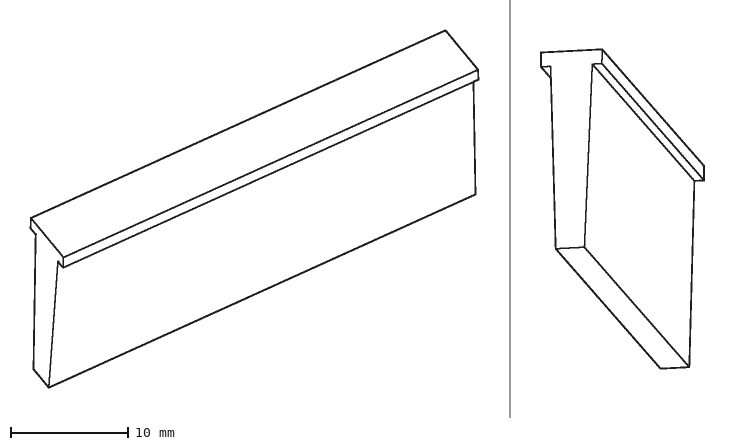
import cadquery as cq
import math

draft_angle = 2.0

cap_width = 5.35
cap_thickness = 1.3

total_height = 17.5
blade_height = total_height - cap_thickness
bottom_width = 2.5
bottom_length = 42.7


def draft_change(height):
    """Change of a full width or length over a height, with draft on both sides."""
    return 2 * height * math.tan(math.radians(draft_angle))


blade_top_width = bottom_width + draft_change(blade_height)
cap_bottom_length = bottom_length - draft_change(blade_height)
cap_top_length = bottom_length - draft_change(total_height)

blade = (
    cq.Workplane("XY")
    .rect(bottom_width, bottom_length)
    .workplane(offset=blade_height)
    .rect(blade_top_width, cap_bottom_length)
    .loft(ruled=True)
)

cap = (
    cq.Workplane("XY")
    .workplane(offset=blade_height)
    .rect(cap_width, cap_bottom_length)
    .workplane(offset=cap_thickness)
    .rect(cap_width, cap_top_length)
    .loft(ruled=True)
)

result = blade.union(cap).clean()